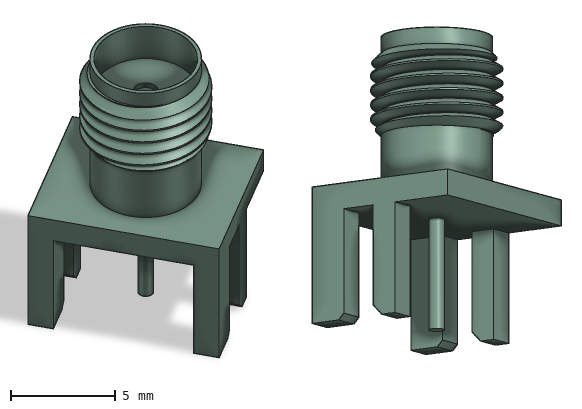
import cadquery as cq
import math

flange_length = 9.52
flange_width = 7.92
total_height = 14.27

leg_height = 5.4
flange_thickness = 1.27
flange_top = leg_height + flange_thickness
leg_thickness = 1.27
front_leg_width = 1.85
rear_leg_width = 1.27
rear_leg_front_y = -0.39
front_leg_chamfer = 0.3
rear_leg_chamfer = 0.5

barrel_radius = 5.35 / 2
bore_radius = 4.95 / 2
bore_depth = 1.97
contact_radius = 1.2 / 2
contact_depth = 0.29
pin_radius = 0.75 / 2

thread_radius = 6.34 / 2
thread_bottom = 9.48
thread_length = 4.0
thread_top = thread_bottom + thread_length
five_pitches = 3.52
thread_pitch = five_pitches / 5
thread_turns = 7
thread_start = 8.98
trim_margin = 0.09
crest_width = thread_pitch / 8
ridge_embed = 0.03
flank_angle = math.radians(30)


def make_flange():
    return (
        cq.Workplane("XY")
        .box(flange_length, flange_width, flange_thickness, centered=(True, True, False))
        .translate((0, 0, leg_height))
    )


def make_leg(center_x, front_y, width, chamfer_side, chamfer):
    """Leg reaching from the ground to the flange, with one bottom edge chamfered."""
    leg = cq.Workplane("XY").box(leg_thickness, width, leg_height, centered=(True, False, False))
    leg = leg.faces(chamfer_side).edges("<Z").chamfer(chamfer)
    return leg.translate((center_x, front_y, 0))


def make_thread():
    """Helical ridge trimmed to a cylinder with 45 degree ends."""
    depth = thread_radius - barrel_radius
    half_crest = crest_width / 2
    embed_radius = barrel_radius - ridge_embed
    half_base = half_crest + (depth + ridge_embed) * math.tan(flank_angle)
    profile = cq.Workplane("XZ").polyline([
        (embed_radius, thread_start - half_base),
        (thread_radius, thread_start - half_crest),
        (thread_radius, thread_start + half_crest),
        (embed_radius, thread_start + half_base),
    ]).close()
    path = cq.Wire.makeHelix(
        thread_pitch, thread_pitch * thread_turns, barrel_radius, cq.Vector(0, 0, thread_start)
    )
    ridge = profile.sweep(cq.Workplane(path), isFrenet=True)
    inner_radius = barrel_radius - trim_margin
    outer_radius = thread_radius + trim_margin
    envelope = (
        cq.Workplane("XZ")
        .polyline([
            (0, thread_bottom - trim_margin),
            (inner_radius, thread_bottom - trim_margin),
            (outer_radius, thread_bottom + depth + trim_margin),
            (outer_radius, thread_top - depth - trim_margin),
            (inner_radius, thread_top + trim_margin),
            (0, thread_top + trim_margin),
        ])
        .close()
        .revolve(360, (0, 0, 0), (0, 1, 0))
    )
    return ridge.intersect(envelope)


def cylinder(radius, bottom, top):
    return cq.Workplane("XY").workplane(offset=bottom).circle(radius).extrude(top - bottom)


body = make_flange()
front_y = -flange_width / 2
for side in (-1, 1):
    leg_x = side * (flange_length - leg_thickness) / 2
    body = body.union(make_leg(leg_x, front_y, front_leg_width, ">Y", front_leg_chamfer))
    body = body.union(make_leg(leg_x, rear_leg_front_y, rear_leg_width, "<Y", rear_leg_chamfer))

body = body.union(cylinder(pin_radius, 0, flange_top))
body = body.union(cylinder(barrel_radius, flange_top, total_height))
body = body.union(make_thread())

bore_floor = total_height - bore_depth
body = body.cut(cylinder(bore_radius, bore_floor, total_height))
body = body.cut(cylinder(contact_radius, bore_floor - contact_depth, bore_floor))

result = body